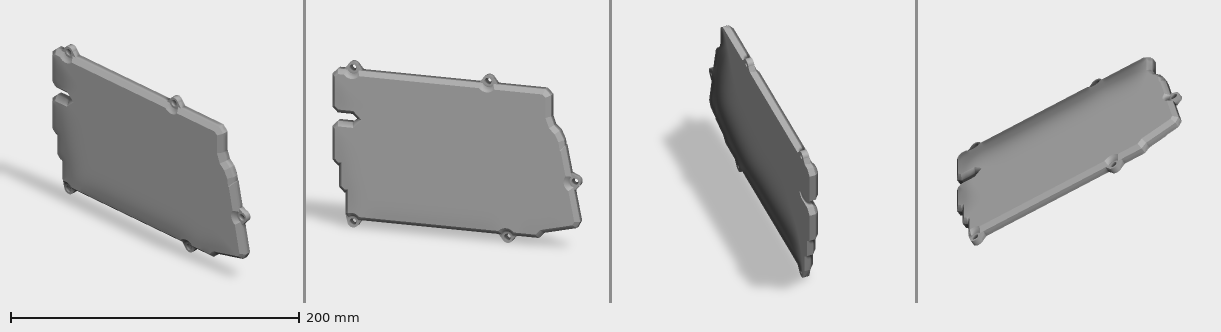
import cadquery as cq
import math


length = 182.5
height = 120.0
thickness = 7.7
bevel = 3.1

bottom = 5.8
top = 114.0
corner = 4.0
upper_right = 160.8

slot_center = 79.2
slot_width = 6.0
slot_length = 15.1

step_width = 4.7
first_step = 44.0
second_step = 24.8

right_edge_end = (182.2, 20.5)
right_foot = (179.6, 15.7)
lower_edge_end = (155.5, 9.9)
bottom_edge_end = 151.9
shoulder = [
    (upper_right, 94.7),
    (163.0, 88.7),
    (167.0, 84.9),
    (170.3, 78.5),
    (170.8, 74.5),
    (171.4, 74.5),
]

lug_radius = 4.2
lug_root_half_width = 6.5
flank_turn = math.radians(68)
hole_diameter = 3.0
counterbore_diameter = 5.0
counterbore_depth = 3.3
left_lug = 15.1
top_lug = 114.5
bottom_lug = 128.7
side_lug_height = 49.1
side_lug_upper_root = (175.6, 55.0)
side_lug_lower_root = (178.3, 42.9)

relief_depth = 0.4
relief_start = 169.4


def plate_outline():
    """Corner points of the plate, clockwise from the top left."""
    slot_half_width = slot_width / 2
    slot_top = slot_center + slot_half_width
    slot_bottom = slot_center - slot_half_width
    second_edge = 2 * step_width
    right_side = [
        (upper_right - corner, top),
        (upper_right, top - corner),
        *shoulder,
        right_edge_end,
        right_foot,
        lower_edge_end,
        (bottom_edge_end, bottom),
    ]
    left_steps = [
        (second_edge + corner, bottom),
        (second_edge, bottom + corner),
        (second_edge, second_step),
        (step_width + corner, second_step),
        (step_width, second_step + corner),
        (step_width, first_step),
        (corner, first_step),
        (0, first_step + corner),
    ]
    slot = [
        (0, slot_bottom - corner),
        (corner, slot_bottom),
        (slot_length, slot_bottom),
        (slot_length + slot_half_width, slot_center),
        (slot_length, slot_top),
        (corner, slot_top),
        (0, slot_top + corner),
    ]
    return [(corner, top), *right_side, *left_steps, *slot, (0, top - corner)]


def prism(points, front, back):
    """Extrude an XZ outline between two Y positions."""
    return cq.Workplane("XZ", origin=(0, front, 0)).polyline(points).close().extrude(front - back)


def round_post(center, radius, front, back):
    """Cylinder along Y between two Y positions."""
    plane = cq.Workplane("XZ", origin=(center[0], front, center[1]))
    return plane.circle(radius).extrude(front - back)


def lug_clearance(center):
    """Cone that opens at 45 degrees from the lug's face to the front of the plate."""
    front_radius = lug_radius + bevel
    point = cq.Vector(center[0], 0, center[1])
    return cq.Workplane(cq.Solid.makeCone(front_radius, lug_radius, bevel, point, cq.Vector(0, 1, 0)))


def lug(center, first_root, second_root, inner):
    """Round lug with flanks that run from its two root points to the round end.

    The inner point lies within the plate and closes the outline.
    """
    outward = (center[0] - inner[0], center[1] - inner[1])
    reach = math.hypot(*outward)
    axis = (outward[0] / reach, outward[1] / reach)

    def flank_end(root):
        """Point on the round end, turned from the lug's axis toward the root."""
        side = axis[0] * (root[1] - center[1]) - axis[1] * (root[0] - center[0])
        turn = math.copysign(flank_turn, side)
        return (
            center[0] + lug_radius * (axis[0] * math.cos(turn) - axis[1] * math.sin(turn)),
            center[1] + lug_radius * (axis[0] * math.sin(turn) + axis[1] * math.cos(turn)),
        )

    flanks = [inner, first_root, flank_end(first_root), flank_end(second_root), second_root]
    return prism(flanks, bevel, thickness).union(round_post(center, lug_radius, bevel, thickness))


def edge_lug(x, at_top):
    """Centre, roots and inner point of a lug on the straight top or bottom edge."""
    edge = top if at_top else bottom
    center_z = height - lug_radius if at_top else lug_radius
    inner_z = edge - lug_radius if at_top else edge + lug_radius
    left_root = (x - lug_root_half_width, edge)
    right_root = (x + lug_root_half_width, edge)
    return (x, center_z), left_root, right_root, (x, inner_z)


bottom_left = edge_lug(left_lug, False)
corner_root = (2 * step_width, bottom + corner)
corner_lug = (bottom_left[0], corner_root, *bottom_left[2:])

jog = shoulder[-1]
right_lean = math.atan2(right_edge_end[0] - jog[0], jog[1] - right_edge_end[1])
side_lug_center = (length - lug_radius, side_lug_height)
side_lug = (
    side_lug_center,
    side_lug_upper_root,
    side_lug_lower_root,
    (
        side_lug_center[0] - lug_radius * math.cos(right_lean),
        side_lug_height - lug_radius * math.sin(right_lean),
    ),
)

lugs = [
    edge_lug(left_lug, True),
    edge_lug(top_lug, True),
    edge_lug(bottom_lug, False),
    corner_lug,
    side_lug,
]

cover = prism(plate_outline(), 0, thickness).faces("<Y").chamfer(bevel)

for center, *anchors in lugs:
    cover = cover.cut(lug_clearance(center)).union(lug(center, *anchors))
for center, *_ in lugs:
    cover = cover.cut(round_post(center, hole_diameter / 2, 0, thickness))
    cover = cover.cut(round_post(center, counterbore_diameter / 2, 0, bevel + counterbore_depth))

relief = cq.Workplane("XY").box(length, relief_depth, height, centered=False)
cover = cover.cut(relief.translate((relief_start, thickness - relief_depth, 0)))

result = cover